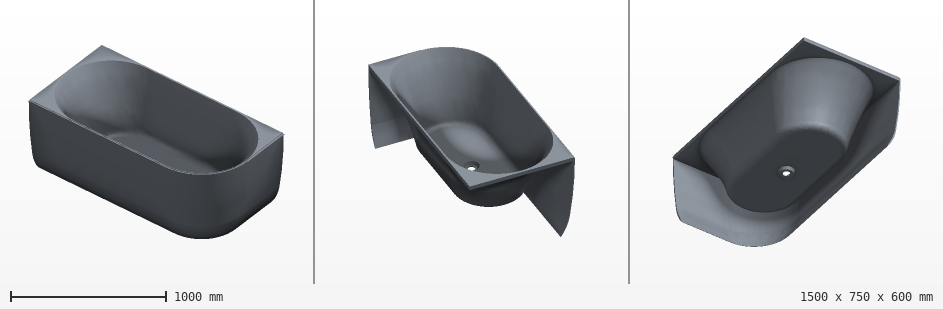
import cadquery as cq

LENGTH = 1500.0
WIDTH = 750.0
HEIGHT = 600.0
RIGHT_LIP = 5.0
CORNER_X = LENGTH / 2 - RIGHT_LIP - WIDTH / 2

DECK_THICKNESS = 28.0
STEP_HEIGHT = 5.0
LEDGE_THICKNESS = 6.0
STEP_INSET = 7.0
DECK_BOTTOM = HEIGHT - DECK_THICKNESS
STEP_Z = HEIGHT - STEP_HEIGHT

SKIRT_THICKNESS = 9.0
FOOT_THICKNESS = 3.0
SKIRT_TOP = (WIDTH / 2, STEP_Z)
SKIRT_UPPER = (366.0, 367.0)
SKIRT_BEND = (339.0, 148.0)
SKIRT_LOWER = (312.0, 60.0)
SKIRT_FOOT = (276.0, 0.0)
INNER_LOWER = (318.0, 105.0)
INNER_TAPER = (297.0, 54.0)

RIM = (1470.0, 726.0, HEIGHT)
MIDDLE = (1107.0, 555.0, 345.0)
WALL_FOOT = (993.0, 492.0, 207.0)
FLOOR = (912.0, 399.0, 165.0)
CORNER_BULGE = (969.0, 465.0, 180.0)
BASIN_THICKNESS = 6.0

DRAIN_TOP_RADIUS = 52.0
DRAIN_PLATE_RADIUS = 39.0
DRAIN_PLATE_Z = 144.0
DRAIN_HOLE_DIAMETER = 50.0


def deck():
    """Plate stepped inside the skirt, with a ledge along the back part of the right side."""
    radius = WIDTH / 2 - STEP_INSET
    right = CORNER_X + radius
    plate = (
        cq.Workplane("XY", origin=(0, 0, DECK_BOTTOM))
        .moveTo(-LENGTH / 2, WIDTH / 2)
        .lineTo(-LENGTH / 2, -radius)
        .lineTo(CORNER_X, -radius)
        .radiusArc((right, 0), -radius)
        .lineTo(right, WIDTH / 2)
        .close()
        .extrude(DECK_THICKNESS)
    )
    ledge = cq.Workplane("XY", origin=(CORNER_X, 0, STEP_Z - LEDGE_THICKNESS)).box(
        LENGTH / 2 - CORNER_X, WIDTH / 2, LEDGE_THICKNESS, centered=False
    )
    return plate.union(ledge)


def skirt_profile(plane):
    """Thin curved section of the skirt; the first local axis points outwards."""
    def inner(point):
        return (point[0] - SKIRT_THICKNESS, point[1])

    return (
        plane.moveTo(*SKIRT_TOP)
        .threePointArc(SKIRT_UPPER, SKIRT_BEND)
        .threePointArc(SKIRT_LOWER, SKIRT_FOOT)
        .lineTo(SKIRT_FOOT[0] - FOOT_THICKNESS, SKIRT_FOOT[1])
        .lineTo(*INNER_TAPER)
        .threePointArc(INNER_LOWER, inner(SKIRT_BEND))
        .threePointArc(inner(SKIRT_UPPER), inner(SKIRT_TOP))
        .close()
    )


def skirt():
    """Straight front panel, rounded corner and straight right panel."""
    front_plane = cq.Plane(origin=(-LENGTH / 2, 0, 0), xDir=(0, -1, 0), normal=(-1, 0, 0))
    right_plane = cq.Plane(origin=(CORNER_X, 0, 0), xDir=(1, 0, 0), normal=(0, -1, 0))
    front = skirt_profile(cq.Workplane(front_plane)).extrude(-(LENGTH / 2 + CORNER_X))
    right = skirt_profile(cq.Workplane(right_plane)).extrude(-WIDTH / 2)
    corner = skirt_profile(cq.Workplane(right_plane)).revolve(90, (0, 0), (0, -1))
    return front.union(corner).union(right)


def stadium(section, grow):
    """Wire with straight sides and semicircular ends, grown outwards."""
    length, width, height = section
    return (
        cq.Workplane("XY", origin=(0, 0, height))
        .slot2D(length + 2 * grow, width + 2 * grow)
        .val()
    )


def basin_body(grow, drop):
    """Flared basin walls above a rounded foot, enlarged by grow and lowered by drop."""
    foot_sections = [(s[0], s[1], s[2] - drop) for s in (FLOOR, CORNER_BULGE)]
    wall = [stadium(s, grow) for s in (WALL_FOOT, MIDDLE, RIM)]
    foot = [stadium(s, grow) for s in foot_sections] + [wall[0]]
    walls = cq.Workplane(cq.Solid.makeLoft(wall, False))
    return walls.union(cq.Workplane(cq.Solid.makeLoft(foot, False)))


def drain_cone(grow, bottom):
    """Conical drain shape between the basin floor and the given height."""
    return (
        cq.Workplane("XY", origin=(0, 0, bottom))
        .circle(DRAIN_PLATE_RADIUS + grow)
        .workplane(offset=FLOOR[2] - bottom)
        .circle(DRAIN_TOP_RADIUS + grow)
        .loft()
    )


below_step = cq.Workplane("XY").box(LENGTH, WIDTH, STEP_Z, centered=(True, True, False))
shell = basin_body(BASIN_THICKNESS, BASIN_THICKNESS).intersect(below_step)
cavity = basin_body(0, 0)
drain_cup = drain_cone(BASIN_THICKNESS, DRAIN_PLATE_Z - BASIN_THICKNESS)
drain_recess = drain_cone(0, DRAIN_PLATE_Z)
drain_hole = cq.Workplane("XY").circle(DRAIN_HOLE_DIAMETER / 2).extrude(FLOOR[2])

result = (
    deck().union(skirt())
    .union(shell)
    .union(drain_cup)
    .cut(cavity)
    .cut(drain_recess)
    .cut(drain_hole)
)